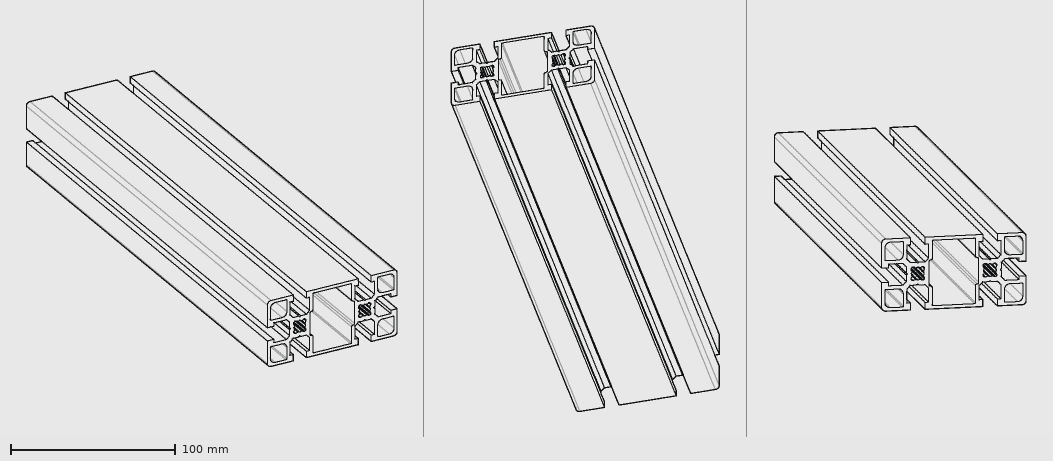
import cadquery as cq

length = 304.8
module = 45.0
half_module = module / 2
width = 2 * module
outer_radius = 2.5

slot_half_opening = 4.5
slot_half_chamber = 6.75
slot_floor = 7.1
slot_corner_chamfer = 2.2
lip_thickness = 4.4
groove_half_width = 0.6
groove_depth = 0.6

cell_inner = 9.0
skin_thickness = 2.1
cell_outer = half_module - skin_thickness
cell_radius = 3.3

small_radius = 0.6

cavity_half_width = 13.4
cavity_waist_half_width = half_module - slot_floor
cavity_half_height = cell_outer
shoulder_height = 8.2
shoulder_radius_share = 0.49

rib_reach = 3.5
rib_offset = 1.4
notch_reach = 4.0
pocket_reach = 4.2
pocket_inner = 2.8
pocket_chamfer = 0.7

overshoot = 1.0


def profile(points):
    """Closed polygon in the YZ plane, extruded over the full length."""
    return cq.Workplane("YZ").polyline(points).close().extrude(length / 2, both=True)


def box(y_min, y_max, z_min, z_max):
    """Full-length bar with the given Y and Z limits."""
    return profile([(y_min, z_min), (y_max, z_min), (y_max, z_max), (y_min, z_max)])


def outer_bar():
    """Solid bar of the full section with its four long edges rounded."""
    bar = box(-width / 2, width / 2, -half_module, half_module)
    return bar.edges("|X").fillet(outer_radius)


def t_slot(module_y, angle):
    """T-slot of the module centred at module_y; angle 0 opens upwards."""
    lip_underside = half_module - lip_thickness
    chamfer_u = slot_half_chamber - slot_corner_chamfer
    half_outline = [
        (groove_half_width, slot_floor),
        (chamfer_u, slot_floor),
        (slot_half_chamber, slot_floor + slot_corner_chamfer),
        (slot_half_chamber, lip_underside),
        (slot_half_opening, lip_underside),
        (slot_half_opening, half_module + overshoot),
    ]
    mirrored = [(-u, v) for u, v in reversed(half_outline)]
    slot = profile([(0, slot_floor - groove_depth)] + half_outline + mirrored)
    return slot.rotate((0, 0, 0), (1, 0, 0), angle).translate((0, module_y, 0))


def corner_cell(side_y, side_z):
    """Hollow cell in one corner, rounded at its outermost and innermost edges."""
    cell = box(cell_inner, cell_outer, cell_inner, cell_outer)
    cell = cell.edges("<(0,1,1) or >(0,1,1)").fillet(cell_radius)
    cell = cell.edges("<(0,1,-1) or >(0,1,-1)").fillet(small_radius)
    cell = cell.translate((0, half_module, 0))
    if side_y < 0:
        cell = cell.mirror("XZ")
    if side_z < 0:
        cell = cell.mirror("XY")
    return cell


def central_cavity():
    """Tall cavity that widens with rounded shoulders between the two cores."""
    shoulder_edges = cq.selectors.BoxSelector(
        (-length, -width, -shoulder_height - small_radius),
        (length, width, shoulder_height + small_radius),
    )
    cavity = box(-cavity_half_width, cavity_half_width, -cavity_half_height, cavity_half_height)
    waist = box(-cavity_waist_half_width, cavity_waist_half_width, -shoulder_height, shoulder_height)
    shoulder_radius = shoulder_radius_share * (cavity_waist_half_width - cavity_half_width)
    end_corners = "|X and (>Z or <Z)"
    cavity = cavity.edges(end_corners).fillet(small_radius).union(waist)
    return cavity.edges("|X").edges(shoulder_edges).fillet(shoulder_radius)


def core_hole(module_y):
    """Bore at the module centre, outlined by four quarter turns of one side and corner."""
    pocket_corner = pocket_reach - pocket_chamfer
    quarter_outline = [
        (rib_reach, -rib_offset),
        (notch_reach, 0),
        (rib_reach, rib_offset),
        (pocket_reach, pocket_inner),
        (pocket_reach, pocket_corner),
        (pocket_corner, pocket_reach),
        (pocket_inner, pocket_reach),
    ]
    outline = []
    quarter = quarter_outline
    for _ in range(4):
        outline += quarter
        quarter = [(-z, y) for y, z in quarter]
    return profile(outline).translate((0, module_y, 0))


result = outer_bar().cut(central_cavity())
for side in (-1, 1):
    module_centre = side * half_module
    result = result.cut(core_hole(module_centre))
    for slot_angle in (0, 180, -90 * side):
        result = result.cut(t_slot(module_centre, slot_angle))
    for vertical_side in (-1, 1):
        result = result.cut(corner_cell(side, vertical_side))